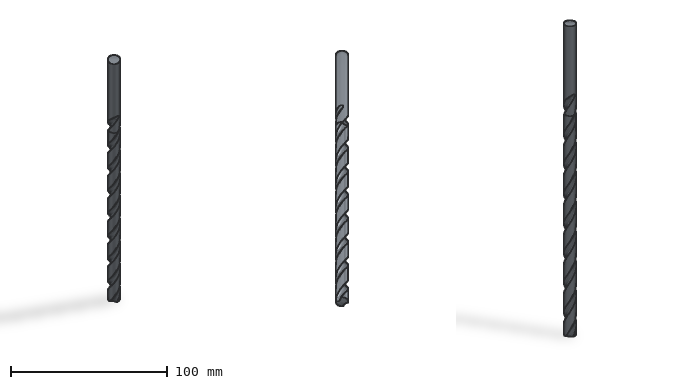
import cadquery as cq
import math

DIAMETER = 8.0
RADIUS = DIAMETER / 2
TOTAL_LENGTH = 230.0
SHANK_LENGTH = 66.0
POINT_ANGLE = 140.0
POINT_HEIGHT = RADIUS / math.tan(math.radians(POINT_ANGLE / 2))
JOINT_Z = TOTAL_LENGTH - SHANK_LENGTH

FLUTE_COUNT = 2
FLUTE_PITCH = 360 / FLUTE_COUNT
HELIX_ANGLE = 30.0
LEAD = math.pi * DIAMETER / math.tan(math.radians(HELIX_ANGLE))
CORE_RADIUS = 2.3
GROOVE_RADIUS = 3.0
GROOVE_OFFSET = CORE_RADIUS + GROOVE_RADIUS

FLUTE_TOP_Z = TOTAL_LENGTH - 54.3
FLUTE_TOP_ANGLE = 108.0
RUNOUT_ANGLE = 50.0
RUNOUT_HEIGHT = 10.0

OVERLAP = 1.0


def polar(radius, degrees):
    angle = math.radians(degrees)
    return (radius * math.cos(angle), radius * math.sin(angle))


def twist_over(height):
    """Degrees that the flutes turn over a height."""
    return 360 * height / LEAD


def place(body, angle, z):
    return body.rotate((0, 0, 0), (0, 0, 1), angle).translate((0, 0, z))


def fluted_section():
    """Oversize disc with the grooves notched into it, one of them toward +X."""
    disc_radius = RADIUS + OVERLAP
    cosine = (disc_radius**2 + GROOVE_OFFSET**2 - GROOVE_RADIUS**2) / (2 * disc_radius * GROOVE_OFFSET)
    half_width = math.degrees(math.acos(cosine))
    section = cq.Workplane("XY").moveTo(*polar(disc_radius, -half_width))
    for index in range(FLUTE_COUNT):
        middle = index * FLUTE_PITCH
        groove_end = polar(disc_radius, middle + half_width)
        land_middle = polar(disc_radius, middle + FLUTE_PITCH / 2)
        land_end = polar(disc_radius, middle + FLUTE_PITCH - half_width)
        section = section.threePointArc(polar(CORE_RADIUS, middle), groove_end)
        section = section.threePointArc(land_middle, land_end)
    return section.close()


def make_cutting_body():
    """Fluted lower length with the conical point: a pointed rod trimmed by a twisted section."""
    start_z = -OVERLAP
    height = JOINT_Z + OVERLAP - start_z
    start_angle = FLUTE_TOP_ANGLE - twist_over(FLUTE_TOP_Z - start_z)
    twisted = fluted_section().twistExtrude(height, twist_over(height))
    pointed_rod = (
        cq.Workplane("XZ")
        .polyline([(0, 0), (RADIUS, POINT_HEIGHT), (RADIUS, JOINT_Z), (0, JOINT_Z)])
        .close()
        .revolve(360, (0, 0), (0, 1))
    )
    return pointed_rod.intersect(place(twisted, start_angle, start_z))


def helix_end_cutter(top_angle):
    """The last stretch of one helical groove, inside the shank."""
    start_z = JOINT_Z - OVERLAP
    height = FLUTE_TOP_Z - start_z
    twist = twist_over(height)
    groove = (
        cq.Workplane("XY")
        .pushPoints([(GROOVE_OFFSET, 0)])
        .circle(GROOVE_RADIUS)
        .twistExtrude(height, twist)
    )
    return place(groove, top_angle - twist, start_z)


def runout_cutter(top_angle):
    """Straight leaning groove that carries on from the top of the helix."""
    section = cq.Wire.makeCircle(GROOVE_RADIUS, cq.Vector(GROOVE_OFFSET, 0, 0), cq.Vector(0, 0, 1))
    sideways = RUNOUT_HEIGHT * math.tan(math.radians(RUNOUT_ANGLE))
    groove = cq.Solid.extrudeLinear(section, [], cq.Vector(0, sideways, RUNOUT_HEIGHT))
    return place(cq.Workplane(groove), top_angle, FLUTE_TOP_Z)


def make_shank():
    """Plain cylinder with the upper ends of the flutes near its bottom."""
    body = cq.Workplane("XY").workplane(offset=JOINT_Z).circle(RADIUS).extrude(SHANK_LENGTH)
    for index in range(FLUTE_COUNT):
        top_angle = FLUTE_TOP_ANGLE + index * FLUTE_PITCH
        body = body.cut(helix_end_cutter(top_angle))
        body = body.cut(runout_cutter(top_angle))
    return body


cutting_body = make_cutting_body().solids()
shank = make_shank().solids()

result = cq.Compound.makeCompound([cutting_body.val(), shank.val()])